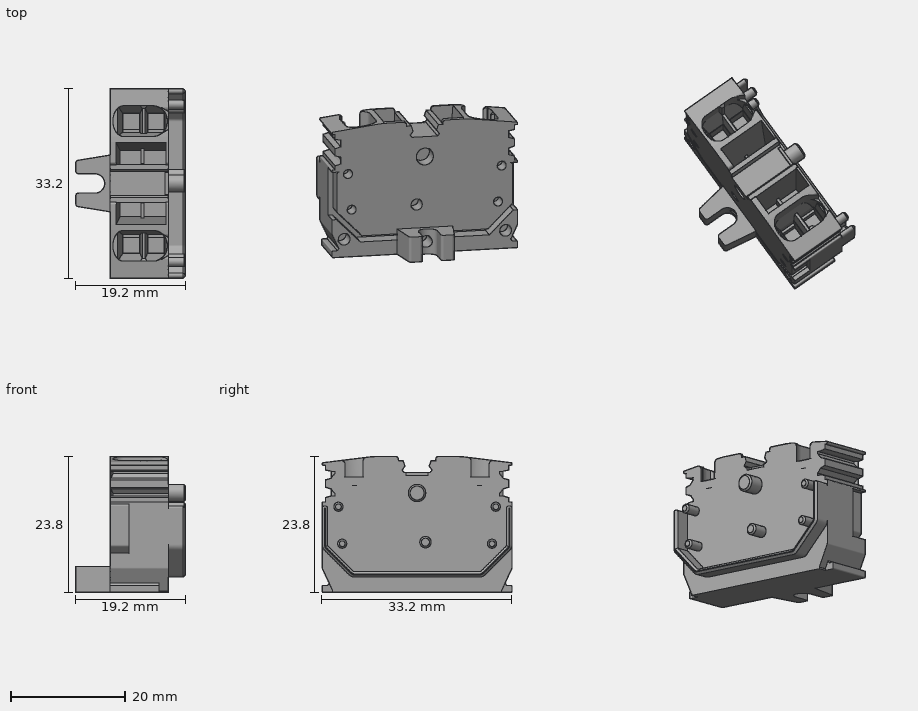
import cadquery as cq
import math

BODY_LENGTH = 10.2
MATING_DEPTH = 3.0
SOCKET_DEPTH = 3.3
HALF_WIDTH = 16.6
HEIGHT = 23.8
OVERSHOOT = 1.0

RIDGE_FLAT = 7.2
RIDGE_SLOPE = 8.2
EAVE_Z = 22.7
EAVE_UNDERSIDE_Z = 22.25
EAVE_RADIUS = 0.2

NOTCH_FLOOR_Z = 21.0
NOTCH_FLOOR_HALF = 2.28
NOTCH_BULGE_HALF = 2.6
NOTCH_BULGE_Z = 21.4
NOTCH_BARB_HALF = 2.1
NOTCH_BARB_Z = 22.1
NOTCH_STEP_HALF = 2.43
NOTCH_STEP_Z = 23.05
NOTCH_TOP_HALF = 3.25
NOTCH_RADIUS = 0.5
KEYWAY_HALF_WIDTH = 1.9
KEYWAY_LENGTH = 0.55
KEYWAY_DEPTH = 0.5

TOOTH_TIP = 16.05
TOOTH_ROOT = 15.05
TOOTH_GROOVES = ((21.4, 21.2, 20.0, 19.7), (18.4, 18.1, 16.9, 16.6))
TOOTH_FOOT_Z = 15.87
GROOVE_POCKET_START = 0.2
GROOVE_POCKET_FULL = 0.54
GROOVE_POCKET_FLOOR = 14.4
GROOVE_LEDGE = 0.8

FOOT_BREAK_Z = 4.2
FOOT_BREAK_RADIUS = 0.5
FOOT_INNER = 15.4
FOOT_INNER_Z = 1.65
FOOT_LIP = 15.65
FOOT_LIP_Z = 1.25
FOOT_LENGTH = 8.6
FOOT_BASE_Z = 0.3

GROOVE_TOP_Z = 15.45
GROOVE_INNER = 15.7
GROOVE_CORNER = 11.3
GROOVE_OUTER_CORNER = 11.55
GROOVE_INNER_FLOOR_Z = 3.7
GROOVE_FLOOR_Z = 2.6
GROOVE_OUTER_BREAK_Z = 6.87
GROOVE_RADIUS = 0.35
GROOVE_BREAK_RADIUS = 0.5

RIM_TOP_Z = 15.15
RIM_BOTTOM_Z = 2.68
RIM_THICKNESS = 0.95
RIM_CORNER = 11.48
RIM_BREAK_Z = 7.8
RIM_CORNER_RADIUS = 1.35
RIM_INNER_RADIUS = 0.7
RIM_TOP_RADIUS = 0.45
RIM_CHAMFER = 0.4
PIN_CHAMFER = 0.3

PINS = (
    (0.0, 17.4, 1.52),
    (1.46, 8.8, 1.0),
    (13.76, 15.0, 0.8),
    (-13.76, 15.0, 0.8),
    (13.1, 8.53, 0.8),
    (-13.1, 8.53, 0.8),
)
FOOT_SOCKETS = ((14.45, 3.24, 1.05), (-14.45, 3.24, 1.05))
LUG_HOLE = (0.0, 2.3, 1.05)

LUG_LENGTH = 6.0
LUG_HEIGHT = 4.57
LUG_ROOT_HALF = 4.98
LUG_TIP_HALF = 4.0
LUG_SLOT_RADIUS = 1.67
LUG_SLOT_END = 0.95
LUG_TIP_RADIUS = 0.5

ENTRY_INNER = 8.2
ENTRY_OUTER = 13.6
ENTRY_FLAT_START = 2.4
ENTRY_FLAT_END = 7.5
ENTRY_LEFT = 0.5
ENTRY_RIGHT = 10.05
ENTRY_SHOULDER_Z = 18.75
FUNNEL_LEFT = 1.33
FUNNEL_RIGHT = 9.75
FUNNEL_FLOOR_Z = 14.0
WELL_LEFT = 2.28
WELL_RIGHT = 9.48
WELL_INNER = 8.95
WELL_OUTER = 12.2
WELL_FLOOR_Z = 10.0
WELL_RIM = 0.08
WELL_LEDGE_Y = 9.43
WELL_LEDGE_Z = 12.0
ENTRY_RIB_X = 5.9
ENTRY_RIB_BASE = 1.44
ENTRY_RIB_TOP = 0.5
ENTRY_RIB_Z = 17.0
ENTRY_RIB_INNER = 8.7
COLUMN_DEPTH = 0.5
COLUMN_BASE = 1.2
COLUMN_BEVEL = 0.35
WINDOW_START = 9.0
WINDOW_INNER = 9.44
WINDOW_OUTER = 12.6
WINDOW_RADIUS = 0.7
WINDOW_SILL_Z = 20.2

POCKET_LEFT = 1.09
POCKET_RIGHT = 9.8
POCKET_INNER = 3.3
POCKET_OUTER = 7.15
POCKET_FLOOR_Z = 6.5
POCKET_FLOOR_LEFT = 1.75
POCKET_FLOOR_OUTER = 5.8
POCKET_RIB_X = 5.7
POCKET_RIB_WIDTH = 0.55
POCKET_RIB_INNER = 3.45
POCKET_RIB_OUTER = 6.1
POCKET_RIB_Z = 10.0

SIDES = (1, -1)


def box(x0, x1, y0, y1, z0, z1):
    low, high = sorted((y0, y1))
    return cq.Workplane("XY").box(x1 - x0, high - low, z1 - z0, centered=False).translate((x0, low, z0))


def prism(points, x0, x1):
    """Extrude a closed (y, z) outline along X."""
    return cq.Workplane("YZ").polyline(points).close().extrude(x1 - x0).translate((x0, 0, 0))


def cylinder_x(y, z, radius, x0, x1):
    return cq.Workplane("YZ").center(y, z).circle(radius).extrude(x1 - x0).translate((x0, 0, 0))


def mirror_points(points):
    """Complete a half outline with its reflection about the vertical axis."""
    return points + [(-across, z) for across, z in reversed(points)]


def edges_along_x(solid, y, z, reach=0.05):
    """Edges parallel to X at the mirrored positions (+-y, z)."""
    return solid.edges("|X").filter(
        lambda edge: abs(abs(edge.Center().y) - y) < reach and abs(edge.Center().z - z) < reach
    )


def roof_z(y):
    """Height of the sloping top at a half-width y."""
    ridge = (RIDGE_FLAT + RIDGE_SLOPE) / 2
    return HEIGHT - (HEIGHT - EAVE_Z) * (y - ridge) / (HALF_WIDTH - ridge)


def make_body():
    half = [
        (NOTCH_FLOOR_HALF, NOTCH_FLOOR_Z),
        (NOTCH_BULGE_HALF, NOTCH_BULGE_Z),
        (NOTCH_BARB_HALF, NOTCH_BARB_Z),
        (NOTCH_STEP_HALF, NOTCH_STEP_Z),
        (NOTCH_TOP_HALF, NOTCH_STEP_Z),
        (NOTCH_TOP_HALF, HEIGHT),
        (RIDGE_FLAT, HEIGHT),
        (RIDGE_SLOPE, roof_z(RIDGE_SLOPE)),
        (HALF_WIDTH, EAVE_Z),
        (HALF_WIDTH, EAVE_UNDERSIDE_Z),
        (TOOTH_TIP, EAVE_UNDERSIDE_Z),
    ]
    for upper_tip, upper_root, lower_root, lower_tip in TOOTH_GROOVES:
        half += [
            (TOOTH_TIP, upper_tip),
            (TOOTH_ROOT, upper_root),
            (TOOTH_ROOT, lower_root),
            (TOOTH_TIP, lower_tip),
        ]
    half += [
        (TOOTH_TIP, TOOTH_FOOT_Z),
        (HALF_WIDTH, TOOTH_FOOT_Z),
        (HALF_WIDTH, FOOT_BREAK_Z),
        (FOOT_INNER, FOOT_INNER_Z),
        (FOOT_LIP, FOOT_LIP_Z),
        (HALF_WIDTH, FOOT_LIP_Z),
        (HALF_WIDTH, 0),
    ]
    body = prism(mirror_points(half), 0, BODY_LENGTH)
    body = edges_along_x(body, NOTCH_TOP_HALF, HEIGHT).fillet(NOTCH_RADIUS)
    for z in (EAVE_Z, EAVE_UNDERSIDE_Z, TOOTH_FOOT_Z, FOOT_LIP_Z, 0):
        body = edges_along_x(body, HALF_WIDTH, z).fillet(EAVE_RADIUS)
    return edges_along_x(body, HALF_WIDTH, FOOT_BREAK_Z).fillet(FOOT_BREAK_RADIUS)


def foot_relief(side):
    """Continue the foot undercut straight down beyond the end of the foot."""
    slope = (HALF_WIDTH - FOOT_INNER) / (FOOT_BREAK_Z - FOOT_INNER_Z)
    base = HALF_WIDTH - slope * (FOOT_BREAK_Z - FOOT_BASE_Z)
    points = [
        (side * HALF_WIDTH, FOOT_BREAK_Z),
        (side * base, FOOT_BASE_Z),
        (side * base, -OVERSHOOT),
        (side * (HALF_WIDTH + OVERSHOOT), -OVERSHOOT),
        (side * (HALF_WIDTH + OVERSHOOT), FOOT_BREAK_Z),
    ]
    return prism(points, FOOT_LENGTH, BODY_LENGTH + OVERSHOOT)


def groove_pocket(side, top_z, bottom_z, slope_low):
    """Deepen a side groove behind its slanted end wall, with one sloping face."""
    if slope_low:
        inner_low, inner_high = bottom_z + GROOVE_LEDGE, top_z
    else:
        inner_low, inner_high = bottom_z, top_z - GROOVE_LEDGE
    mouth = side * TOOTH_ROOT
    floor = side * GROOVE_POCKET_FLOOR
    section = prism(
        [(mouth, bottom_z), (floor, inner_low), (floor, inner_high), (mouth, top_z)],
        0,
        BODY_LENGTH,
    )
    plan = [
        (GROOVE_POCKET_START, mouth),
        (GROOVE_POCKET_FULL, floor),
        (BODY_LENGTH, floor),
        (BODY_LENGTH, mouth),
    ]
    return section.intersect(cq.Workplane("XY").polyline(plan).close().extrude(HEIGHT))


def mating_groove():
    """U-shaped groove in the -X face, open at both sides of the body."""
    edge = HALF_WIDTH + OVERSHOOT
    inner_break_z = GROOVE_INNER_FLOOR_Z + GROOVE_INNER - GROOVE_CORNER
    outer = [
        (edge, GROOVE_TOP_Z),
        (edge, GROOVE_OUTER_BREAK_Z),
        (GROOVE_OUTER_CORNER + GROOVE_OUTER_BREAK_Z - GROOVE_FLOOR_Z, GROOVE_OUTER_BREAK_Z),
        (GROOVE_OUTER_CORNER, GROOVE_FLOOR_Z),
    ]
    inner = [
        (GROOVE_INNER, GROOVE_TOP_Z),
        (GROOVE_INNER, inner_break_z),
        (GROOVE_CORNER, GROOVE_INNER_FLOOR_Z),
    ]
    core = prism(mirror_points(inner), -OVERSHOOT, SOCKET_DEPTH + OVERSHOOT)
    core = edges_along_x(core, GROOVE_INNER, GROOVE_TOP_Z).fillet(GROOVE_RADIUS)
    core = edges_along_x(core, GROOVE_INNER, inner_break_z).fillet(GROOVE_BREAK_RADIUS)
    return prism(mirror_points(outer), -OVERSHOOT, SOCKET_DEPTH).cut(core)


def mating_rim():
    """U-shaped rim on the +X face that enters the next block's groove."""
    inner = HALF_WIDTH - RIM_THICKNESS
    diagonal_shift = RIM_THICKNESS * math.tan(math.radians(22.5))
    outline = mirror_points([
        (inner, RIM_TOP_Z),
        (HALF_WIDTH, RIM_TOP_Z),
        (HALF_WIDTH, RIM_BREAK_Z),
        (RIM_CORNER, RIM_BOTTOM_Z),
    ])
    floor_corner = RIM_CORNER - diagonal_shift
    floor_z = RIM_BOTTOM_Z + RIM_THICKNESS
    end = BODY_LENGTH + MATING_DEPTH
    cavity_outline = mirror_points([
        (inner, RIM_TOP_Z + OVERSHOOT),
        (inner, RIM_BREAK_Z + diagonal_shift),
        (floor_corner, floor_z),
    ])
    cavity = prism(cavity_outline, BODY_LENGTH, end)
    cavity = edges_along_x(cavity, floor_corner, floor_z).fillet(RIM_INNER_RADIUS)
    rim = prism(outline, BODY_LENGTH, end).cut(cavity)
    rim = edges_along_x(rim, HALF_WIDTH, RIM_TOP_Z).fillet(RIM_TOP_RADIUS)
    rim = edges_along_x(rim, inner, RIM_TOP_Z).fillet(RIM_TOP_RADIUS)
    for y, z in ((HALF_WIDTH, RIM_BREAK_Z), (RIM_CORNER, RIM_BOTTOM_Z)):
        rim = edges_along_x(rim, y, z).fillet(RIM_CORNER_RADIUS)
    return rim.faces(">X").chamfer(RIM_CHAMFER)


def pin(y, z, radius):
    peg = cylinder_x(y, z, radius, BODY_LENGTH, BODY_LENGTH + MATING_DEPTH)
    return peg.faces(">X").chamfer(PIN_CHAMFER)


def mounting_lug():
    outline = [
        (0, LUG_ROOT_HALF),
        (-LUG_LENGTH, LUG_TIP_HALF),
        (-LUG_LENGTH, -LUG_TIP_HALF),
        (0, -LUG_ROOT_HALF),
    ]
    lug = cq.Workplane("XY").polyline(outline).close().extrude(LUG_HEIGHT)
    slot_center = -LUG_SLOT_END - LUG_SLOT_RADIUS
    lug = lug.cut(cq.Workplane("XY").center(slot_center, 0).circle(LUG_SLOT_RADIUS).extrude(LUG_HEIGHT))
    lug = lug.cut(box(-LUG_LENGTH, slot_center, -LUG_SLOT_RADIUS, LUG_SLOT_RADIUS, 0, LUG_HEIGHT))
    return lug.edges("|Z and <X").fillet(LUG_TIP_RADIUS)


def entry_mouth(side, bottom_z):
    """Upright rounded opening, ended by half ellipses, from bottom_z out through the top."""
    half_width = (ENTRY_OUTER - ENTRY_INNER) / 2
    middle = side * (ENTRY_OUTER + ENTRY_INNER) / 2
    height = HEIGHT + OVERSHOOT - bottom_z
    mouth = box(
        ENTRY_FLAT_START,
        ENTRY_FLAT_END,
        side * ENTRY_INNER,
        side * ENTRY_OUTER,
        bottom_z,
        bottom_z + height,
    )
    ends = (
        (ENTRY_FLAT_START, ENTRY_FLAT_START - ENTRY_LEFT),
        (ENTRY_FLAT_END, ENTRY_RIGHT - ENTRY_FLAT_END),
    )
    for x, reach in ends:
        end = cq.Workplane("XY", origin=(x, middle, bottom_z)).ellipse(reach, half_width)
        mouth = mouth.union(end.extrude(height))
    return mouth


def rectangle_loft(upper, upper_z, lower, lower_z):
    """Loft between two (x0, x1, y0, y1) rectangles."""
    ux0, ux1, uy0, uy1 = upper
    lx0, lx1, ly0, ly1 = lower
    return (
        cq.Workplane("XY", origin=(0, 0, lower_z))
        .polyline([(lx0, ly0), (lx1, ly0), (lx1, ly1), (lx0, ly1)])
        .close()
        .workplane(offset=upper_z - lower_z)
        .polyline([(ux0, uy0), (ux1, uy0), (ux1, uy1), (ux0, uy1)])
        .close()
        .loft(combine=True)
    )


def wire_entry(side):
    mouth = entry_mouth(side, ENTRY_SHOULDER_Z)
    shoulder = (FUNNEL_LEFT, FUNNEL_RIGHT, side * ENTRY_INNER, side * ENTRY_OUTER)
    well_top = (
        WELL_LEFT - WELL_RIM,
        WELL_RIGHT + WELL_RIM,
        side * WELL_INNER,
        side * (WELL_OUTER + WELL_RIM),
    )
    funnel = rectangle_loft(shoulder, ENTRY_SHOULDER_Z, well_top, FUNNEL_FLOOR_Z)
    funnel = funnel.intersect(entry_mouth(side, FUNNEL_FLOOR_Z))
    ledge = box(WELL_LEFT, WELL_RIGHT, side * WELL_INNER, side * WELL_OUTER, WELL_LEDGE_Z, FUNNEL_FLOOR_Z)
    well = box(WELL_LEFT, WELL_RIGHT, side * WELL_LEDGE_Y, side * WELL_OUTER, WELL_FLOOR_Z, FUNNEL_FLOOR_Z)
    cutter = mouth.union(funnel).union(ledge).union(well)
    return cutter.cut(entry_rib(side)).cut(entry_column(side)).union(entry_window(side))


def entry_rib(side):
    """Tapered partition across the well, peaked along its top."""
    base = ENTRY_RIB_BASE / 2
    shoulder = base - WELL_RIM
    crest = ENTRY_RIB_TOP / 2
    half = [
        (base, WELL_FLOOR_Z),
        (base, FUNNEL_FLOOR_Z),
        (shoulder, FUNNEL_FLOOR_Z),
        (crest, ENTRY_RIB_Z),
    ]
    profile = [(ENTRY_RIB_X + x, z) for x, z in mirror_points(half)]
    rib = (
        cq.Workplane("XZ", origin=(0, ENTRY_OUTER, 0))
        .polyline(profile)
        .close()
        .extrude(ENTRY_OUTER - ENTRY_RIB_INNER)
    )
    return rib if side > 0 else rib.mirror("XZ")


def entry_column(side):
    """Upright guide on the outer wall above the rib."""
    base = COLUMN_BASE / 2
    crest = ENTRY_RIB_TOP / 2
    wall = side * ENTRY_OUTER
    front = side * (ENTRY_OUTER - COLUMN_DEPTH)
    plan = [
        (ENTRY_RIB_X - base, wall),
        (ENTRY_RIB_X - crest, front),
        (ENTRY_RIB_X + crest, front),
        (ENTRY_RIB_X + base, wall),
    ]
    column = cq.Workplane("XY", origin=(0, 0, WELL_FLOOR_Z)).polyline(plan).close()
    column = column.extrude(HEIGHT + OVERSHOOT - WELL_FLOOR_Z)
    top_z = roof_z(ENTRY_OUTER)
    bevel = [
        (wall, top_z),
        (front, top_z - COLUMN_BEVEL),
        (front, HEIGHT + OVERSHOOT),
        (wall, HEIGHT + OVERSHOOT),
    ]
    return column.cut(prism(bevel, 0, BODY_LENGTH))


def entry_window(side):
    """Opening from the wire entry through the +X wall, flared inward and rounded at the top."""
    radius = WINDOW_RADIUS
    along = radius * (1 - math.sqrt(0.5))
    inner_top = roof_z(WINDOW_INNER - radius)
    outer_top = roof_z(WINDOW_OUTER + radius)
    above = HEIGHT + OVERSHOOT
    window = (
        cq.Workplane("YZ")
        .moveTo(WINDOW_INNER, WINDOW_SILL_Z)
        .lineTo(WINDOW_INNER, inner_top - radius)
        .threePointArc((WINDOW_INNER - along, inner_top - along), (WINDOW_INNER - radius, inner_top))
        .lineTo(WINDOW_INNER - radius, above)
        .lineTo(WINDOW_OUTER + radius, above)
        .lineTo(WINDOW_OUTER + radius, outer_top)
        .threePointArc((WINDOW_OUTER + along, outer_top - along), (WINDOW_OUTER, outer_top - radius))
        .lineTo(WINDOW_OUTER, WINDOW_SILL_Z)
        .close()
        .extrude(BODY_LENGTH - WINDOW_START)
        .translate((WINDOW_START, 0, 0))
    )
    flared_plan = [
        (WINDOW_START, WINDOW_INNER - radius),
        (BODY_LENGTH, WINDOW_INNER),
        (BODY_LENGTH, WINDOW_OUTER),
        (WINDOW_START, WINDOW_OUTER + radius),
    ]
    flare = cq.Workplane("XY", origin=(0, 0, WINDOW_SILL_Z)).polyline(flared_plan).close()
    window = window.union(flare.extrude(above - WINDOW_SILL_Z))
    return window if side > 0 else window.mirror("XZ")


def test_pocket(side):
    inner = side * POCKET_INNER
    mouth = (POCKET_LEFT, POCKET_RIGHT, inner, side * POCKET_OUTER)
    floor = (POCKET_FLOOR_LEFT, POCKET_RIGHT, inner, side * POCKET_FLOOR_OUTER)
    pocket = rectangle_loft(mouth, HEIGHT, floor, POCKET_FLOOR_Z)
    opening = box(POCKET_LEFT, POCKET_RIGHT, 0, inner, NOTCH_STEP_Z, HEIGHT)
    half_rib = POCKET_RIB_WIDTH / 2
    rib = box(
        POCKET_RIB_X - half_rib,
        POCKET_RIB_X + half_rib,
        side * POCKET_RIB_INNER,
        side * POCKET_RIB_OUTER,
        POCKET_FLOOR_Z,
        POCKET_RIB_Z,
    )
    return pocket.cut(rib).union(opening)


def keyway():
    return box(
        BODY_LENGTH - KEYWAY_LENGTH,
        BODY_LENGTH,
        -KEYWAY_HALF_WIDTH,
        KEYWAY_HALF_WIDTH,
        NOTCH_FLOOR_Z - KEYWAY_DEPTH,
        NOTCH_FLOOR_Z,
    )


def build():
    part = make_body().cut(mating_groove()).cut(keyway())
    for side in SIDES:
        part = part.cut(foot_relief(side)).cut(wire_entry(side)).cut(test_pocket(side))
        for index, (_, upper_root, lower_root, _) in enumerate(TOOTH_GROOVES):
            part = part.cut(groove_pocket(side, upper_root, lower_root, slope_low=index == 0))
    for y, z, radius in PINS + FOOT_SOCKETS:
        part = part.cut(cylinder_x(y, z, radius, 0, SOCKET_DEPTH))
    part = part.union(mating_rim())
    for y, z, radius in PINS:
        part = part.union(pin(y, z, radius))
    part = part.union(mounting_lug())
    return part.cut(cylinder_x(*LUG_HOLE, -LUG_SLOT_END - LUG_SLOT_RADIUS, SOCKET_DEPTH))


result = build()